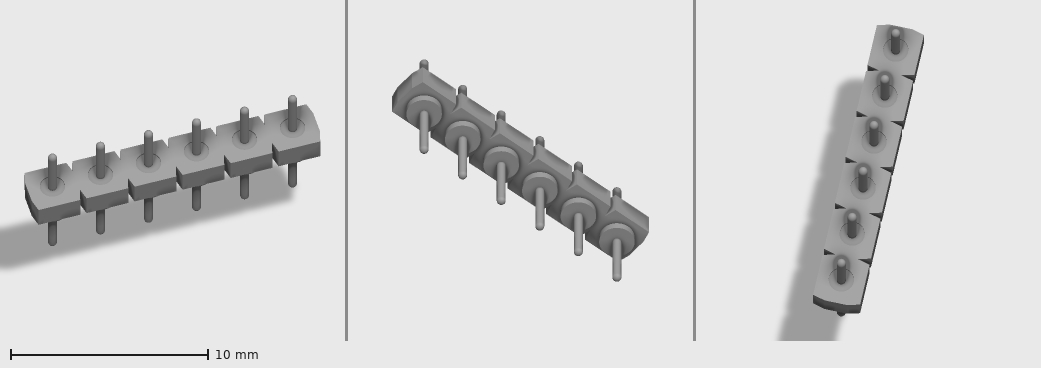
import cadquery as cq
import math

pin_count = 6
housing_length = 15.24
housing_width = 2.44
housing_height = 1.26
pitch = housing_length / pin_count
neck_width = 1.16
bevel_length = 0.17

pin_height = 7.62
pin_diameter = 0.45
collar_diameter = 1.28
collar_recess = 0.06
collar_exposed = 0.12
flange_diameter = 1.8
flange_height = 0.4
pin_above_housing = 2.67

collar_top = housing_height - collar_recess
collar_bottom = -collar_exposed
flange_bottom = collar_bottom - flange_height
pin_top = housing_height + pin_above_housing
pin_bottom = pin_top - pin_height

pin_positions = [(i - (pin_count - 1) / 2) * pitch for i in range(pin_count)]


def make_housing():
    """Bevelled modules in one strip, so that a V notch lies between neighbours."""
    half_width = housing_width / 2
    half_neck = neck_width / 2
    right_side = []
    for y in pin_positions:
        right_side += [
            (half_neck, y - pitch / 2),
            (half_width, y - pitch / 2 + bevel_length),
            (half_width, y + pitch / 2 - bevel_length),
        ]
    right_side.append((half_neck, housing_length / 2))
    left_side = [(-x, y) for x, y in reversed(right_side)]
    strip = cq.Workplane("XY").polyline(right_side + left_side).close().extrude(housing_height)

    pin_holes = cq.Workplane("XY").pushPoints([(0, y) for y in pin_positions])
    return strip.cut(pin_holes.circle(collar_diameter / 2).extrude(housing_height))


def make_pin(y):
    """Revolved pin: hemispherical tips, a collar in the housing and a flange below it."""
    pin_radius = pin_diameter / 2
    collar_radius = collar_diameter / 2
    flange_radius = flange_diameter / 2
    arc_reach = pin_radius * math.sqrt(0.5)
    upper_tip_center = pin_top - pin_radius
    lower_tip_center = pin_bottom + pin_radius

    half_profile = (
        cq.Workplane("XZ")
        .moveTo(0, pin_bottom)
        .threePointArc((-arc_reach, lower_tip_center - arc_reach), (-pin_radius, lower_tip_center))
        .lineTo(-pin_radius, flange_bottom)
        .lineTo(-flange_radius, flange_bottom)
        .lineTo(-flange_radius, collar_bottom)
        .lineTo(-collar_radius, collar_bottom)
        .lineTo(-collar_radius, collar_top)
        .lineTo(-pin_radius, collar_top)
        .lineTo(-pin_radius, upper_tip_center)
        .threePointArc((-arc_reach, upper_tip_center + arc_reach), (0, pin_top))
        .close()
    )
    return half_profile.revolve(360, (0, 0, 0), (0, 1, 0)).translate((0, y, 0))


housing = make_housing()
pins = [make_pin(y) for y in pin_positions]

result = cq.Compound.makeCompound([housing.val(), *[pin.val() for pin in pins]])